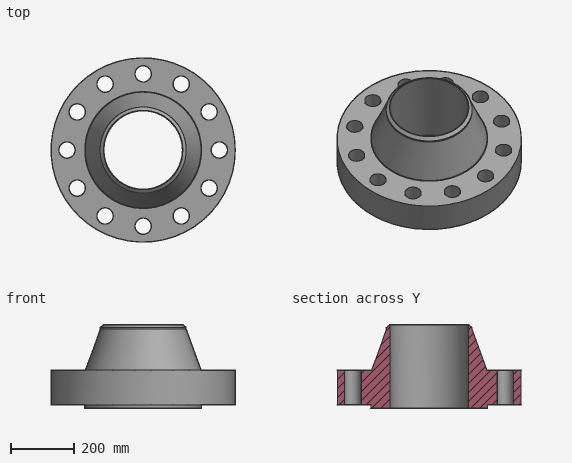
import cadquery as cq


flange_diameter = 584.0
flange_thickness = 110.0
raised_face_diameter = 371.0
raised_face_height = 11.0

total_height = 265.0
hub_base_diameter = 367.0
weld_end_diameter = 273.0
weld_end_length = 5.0
weld_bevel_height = 9.0
root_face_width = 2.0
bore_diameter = 248.0

foot_diameter = 370.0
foot_height = 1.0

bolt_count = 12
bolt_circle_diameter = 482.5
bolt_hole_diameter = 51.0

flange_top = raised_face_height + flange_thickness
bevel_start = total_height - weld_bevel_height
taper_end = bevel_start - weld_end_length
bore_radius = bore_diameter / 2
weld_end_radius = weld_end_diameter / 2


def flange_body():
    """Revolve the half section of flange, hub and bore around Z."""
    half_section = [
        (bore_radius, 0),
        (raised_face_diameter / 2, 0),
        (raised_face_diameter / 2, raised_face_height),
        (flange_diameter / 2, raised_face_height),
        (flange_diameter / 2, flange_top),
        (foot_diameter / 2, flange_top),
        (hub_base_diameter / 2, flange_top + foot_height),
        (weld_end_radius, taper_end),
        (weld_end_radius, bevel_start),
        (bore_radius + root_face_width, total_height),
        (bore_radius, total_height),
    ]
    return cq.Workplane("XZ").polyline(half_section).close().revolve(360, (0, 0, 0), (0, 1, 0))


def bolt_holes():
    """Cylinders for the bolt holes, the first one on the +X axis."""
    return (
        cq.Workplane("XY")
        .polarArray(bolt_circle_diameter / 2, 0, 360, bolt_count)
        .circle(bolt_hole_diameter / 2)
        .extrude(flange_top)
    )


result = flange_body().cut(bolt_holes())